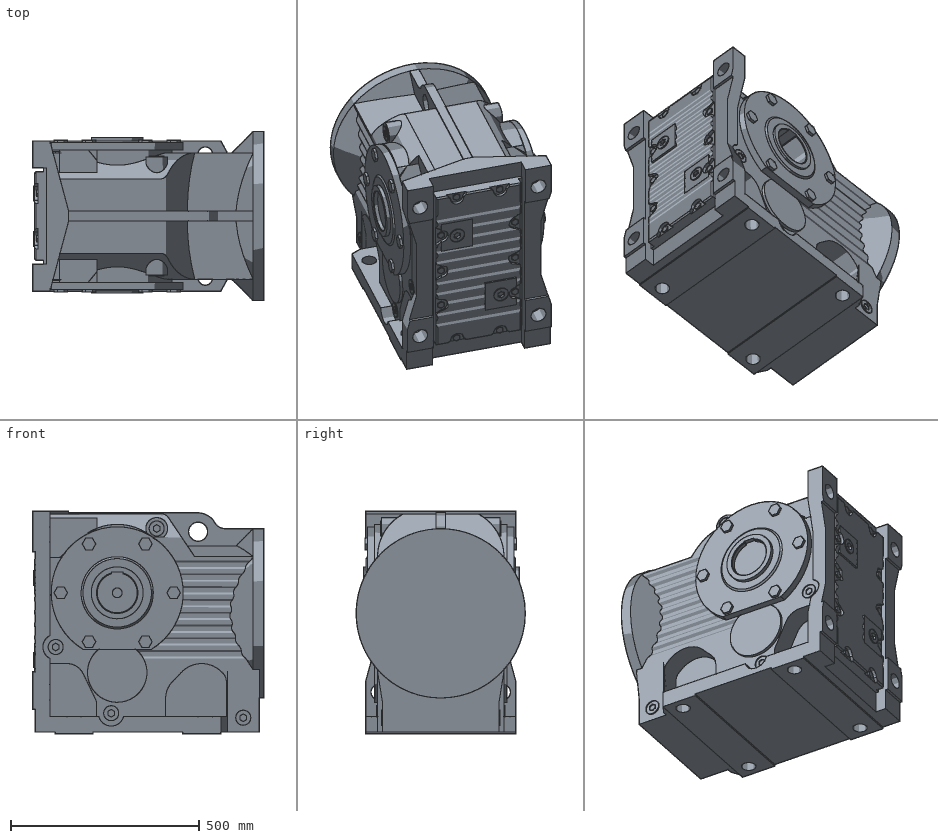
import cadquery as cq
import math

SIDES = (1, -1)

BODY_HALF = 168
BACK_X = -179
FOOT_BOTTOM = -370
SHOULDER_Z = 96
DECK_Z = 210
DECK_HALF = 99
DECK_END = 117
DECK_ROUND_END = (137, 198.5)
SLOPE_FOOT = (206, SHOULDER_Z)
SHOULDER_R = ((BODY_HALF - DECK_HALF) ** 2 + (DECK_Z - SHOULDER_Z) ** 2) / (2 * (BODY_HALF - DECK_HALF))
SHOULDER_Y = BODY_HALF - SHOULDER_R
NECK_TOP = 125
NECK_FLAT_HALF = 18
NECK_BULGE = 7
RECESS_WALL = 116
RECESS_FLOOR = ((BACK_X, 94), (-153, 94), (-54, 172))

GROOVE_BOTTOM = -181
GROOVE_TOP = 91
GROOVE_WAVES = 8
GROOVE_DEPTH = 5

INPUT_Z = -54.5
INPUT_R = 225
FLANGE_BACK = 361
FLANGE_FRONT = 390
CONE_LENGTH = 140

RIB_HALF = 13
RIB_TOP = 213
RIB_LOW = 171
RIB_BEND = (216, 240, 256.5, 267, 284)
RIB_BEND_SAG = 7
EYE = (215, 162.5)
EYE_R = 25

PLATE_HALF = 200
PLATE_TOP = 217
PLATE_FACE = -218
PAD_FACE = -225
PAD_UPPER = (109, PLATE_TOP)
PAD_LOWER = (-310, -209.5)
WAIST_HALF = 173
WAIST_Z = (-236, -137, 33, 130)
WEDGE_TIP = -129
CHANNEL_HALF = 128
CHANNEL_FLOOR = -188
PLATE_HOLE_R = 20.5
PLATE_HOLE_Y = 164.5
PLATE_HOLE_Z = (155, -264)

COVER_Z = (-309, 171)
COVER_HALF = 118
GASKET_FACE = -196
COVER_FACE = -220
COVER_CHAMFER = 4
COVER_FIN_Z = (-254, 118)
FIN_WAVES = 11
FIN_DEPTH = 5
EAR_R = 18
EAR_EDGE_HALF = 27
EAR_FACE = -211
EAR_SCREW_R = 10
EAR_SCREW_FACE = -215
EAR_SIDE = (103, (44, -71, -183))
EAR_END = (60, (160, -299))
PLUG_PAD = 87
PLUG_PADS = ((60.5, 40), (-61.5, -178))
PLUG_FACE = -223
PLUG_R = 20
PLUG_HEX = 20
PLUG_SOCKET_FLOOR = -215

DISC_R = 175.5
DISC_Y = (176, 195)
DISC_FLAT_Z = -150
BOSS_R = 146
BOSS_Z = 36
BOSS_TRIM = ((-54, 148), (-77, 176))
LOWER_BOSS_R = 79
LOWER_BOSS_Z = -212
SEAL_R = (96, 91)
SEAL_HEIGHT = 4
SHAFT_R = 69
SHAFT_END = {1: 209, -1: 205}
BORE_R = 53
BORE_CHAMFER = 2
KEY_WIDTH = 30
KEY_TOP = 56
CAP_Y = (185, 197)
CAP_OVERLAP = 5
CAP_HOLE_R = 13
CAP_HOLE_DEPTH = 6
BOLT_COUNT = 6
BOLT_CIRCLE_R = 150
BOLT_CORNERS = 36
BOLT_TOP = 202

FOOT_TOP = -329
FOOT_HALF = 200
FOOT_END = 275.5
FOOT_TAPER_END = 293
FOOT_PADS = ((-165, -64), (174, FOOT_END))
FOOT_PAD_BOTTOM = -375
FOOT_HOLE_X = (-115, 234)
FOOT_HOLE_Y = 164.5
FOOT_HOLE_R = 19
POCKET_BACK = 110
POCKET_TOP = -188
REAR_POCKET_END = -55
FRONT_POCKET_X = (129, 290)

BLOCK_END = 378
BLOCK_TOP = -202
BLOCK_SLOPE_Z = (-290, -209)
BLOCK_HALF = 155

OIL_PLUG_R = 20
OIL_PLUG_HEX = 20
OIL_PLUG_PROUD = 3
SCOOP_R = 34
SCOOPED_PLUGS = ((-163.5, -144), (-16, -320))
TOP_PLUG = (105, 171)
TOP_PLUG_BOSS_R = 29
TOP_PLUG_FACE = 157
BLOCK_PLUG = (335, -332)


def box(x, y, z):
    """Box from (low, high) limits on each axis."""
    size = (x[1] - x[0], y[1] - y[0], z[1] - z[0])
    return cq.Workplane("XY").box(*size, centered=False).translate((x[0], y[0], z[0]))


def y_prism(outline, y):
    """Extrude an XZ outline between two Y limits."""
    low, high = min(y), max(y)
    return outline.extrude(-(high - low)).translate((0, low, 0))


def y_cylinder(center, radius, y):
    return y_prism(cq.Workplane("XZ").center(*center).circle(radius), y)


def y_hexagon(center, corners, y, turn=0):
    outline = cq.Workplane("XZ").transformed(rotate=(0, 0, turn), offset=(*center, 0)).polygon(6, corners)
    return y_prism(outline, y)


def x_cylinder(center, radius, x):
    return cq.Workplane("YZ").center(*center).circle(radius).extrude(x[1] - x[0]).translate((x[0], 0, 0))


def x_hexagon(center, corners, x):
    outline = cq.Workplane("YZ").transformed(rotate=(0, 0, 30), offset=(*center, 0)).polygon(6, corners)
    return outline.extrude(x[1] - x[0]).translate((x[0], 0, 0))


def wave(outline, crest, z_start, z_end, depth, count):
    """Continue an outline upwards in Z from crest to crest through smooth arcs.

    `depth` is signed: it leads from the crest coordinate to the root coordinate.
    """
    step = (z_end - z_start) / (4 * count)
    rise = depth / 2
    radius = (step ** 2 + rise ** 2) / (2 * abs(rise))
    half_angle = math.asin(step / radius) / 2
    near = crest + math.copysign(radius * (1 - math.cos(half_angle)), rise)
    near_step = radius * math.sin(half_angle)
    for i in range(count):
        z = z_start + 4 * i * step
        outline = (
            outline.threePointArc((near, z + near_step), (crest + rise, z + step))
            .threePointArc((crest + depth, z + 2 * step), (crest + rise, z + 3 * step))
            .threePointArc((near, z + 4 * step - near_step), (crest, z + 4 * step))
        )
    return outline


def shoulder_mid():
    """Middle point of the +Y shoulder arc, as (Y, Z)."""
    angle = math.atan2(DECK_Z - SHOULDER_Z, DECK_HALF - SHOULDER_Y) / 2
    return (SHOULDER_Y + SHOULDER_R * math.cos(angle), SHOULDER_Z + SHOULDER_R * math.sin(angle))


def upper_housing():
    """Round-shouldered housing under the deck, with its sloping end."""
    mid = shoulder_mid()
    section = (
        cq.Workplane("YZ")
        .moveTo(-BODY_HALF, FOOT_BOTTOM)
        .lineTo(BODY_HALF, FOOT_BOTTOM)
        .lineTo(BODY_HALF, SHOULDER_Z)
        .threePointArc(mid, (DECK_HALF, DECK_Z))
        .lineTo(-DECK_HALF, DECK_Z)
        .threePointArc((-mid[0], mid[1]), (-BODY_HALF, SHOULDER_Z))
        .close()
        .extrude(SLOPE_FOOT[0] - BACK_X)
        .translate((BACK_X, 0, 0))
    )
    side = (
        cq.Workplane("XZ")
        .moveTo(BACK_X, FOOT_BOTTOM)
        .lineTo(BACK_X, DECK_Z)
        .lineTo(DECK_END, DECK_Z)
        .tangentArcPoint(DECK_ROUND_END, relative=False)
        .lineTo(*SLOPE_FOOT)
        .lineTo(SLOPE_FOOT[0], FOOT_BOTTOM)
        .close()
    )
    return section.intersect(y_prism(side, (-BODY_HALF, BODY_HALF)))


def neck():
    """Housing that runs on to the input flange, with a gently crowned roof."""
    mid_y = (NECK_FLAT_HALF + BODY_HALF) / 2
    mid_z = (NECK_TOP + SHOULDER_Z) / 2 + NECK_BULGE
    return (
        cq.Workplane("YZ")
        .moveTo(-BODY_HALF, BLOCK_TOP)
        .lineTo(BODY_HALF, BLOCK_TOP)
        .lineTo(BODY_HALF, SHOULDER_Z)
        .threePointArc((mid_y, mid_z), (NECK_FLAT_HALF, NECK_TOP))
        .lineTo(-NECK_FLAT_HALF, NECK_TOP)
        .threePointArc((-mid_y, mid_z), (-BODY_HALF, SHOULDER_Z))
        .close()
        .extrude(FLANGE_BACK)
    )


def side_grooves():
    """Material removed by the wavy cooling grooves of the +Y side."""
    outline = cq.Workplane("YZ").moveTo(BODY_HALF, GROOVE_BOTTOM)
    outline = wave(outline, BODY_HALF, GROOVE_BOTTOM, GROOVE_TOP, -GROOVE_DEPTH, GROOVE_WAVES)
    beyond = BODY_HALF + GROOVE_DEPTH
    outline = outline.lineTo(beyond, GROOVE_TOP).lineTo(beyond, GROOVE_BOTTOM).close()
    return outline.extrude(FLANGE_BACK)


def shoulder_shelf():
    """Wedge that carries the climbing recess floor out to the bearing covers."""
    low, high = RECESS_FLOOR[1:]
    outline = [low, high, (high[0], low[1])]
    return y_prism(cq.Workplane("XZ").polyline(outline).close(), (-DISC_Y[0], DISC_Y[0]))


def shoulder_recess(side):
    """Recess beside the mounting plate: upright wall and a floor that climbs towards +X."""
    outline = [*RECESS_FLOOR, (RECESS_FLOOR[-1][0], DECK_Z), (BACK_X, DECK_Z)]
    y = (side * RECESS_WALL, side * BODY_HALF)
    return y_prism(cq.Workplane("XZ").polyline(outline).close(), y)


def mounting_plate():
    """Waisted plate with raised corner pads, a full-height channel and four bolt holes."""
    low, waist_low, waist_high, high = WAIST_Z
    outline = [
        (-PLATE_HALF, FOOT_BOTTOM), (PLATE_HALF, FOOT_BOTTOM), (PLATE_HALF, low), (WAIST_HALF, waist_low),
        (WAIST_HALF, waist_high), (PLATE_HALF, high), (PLATE_HALF, PLATE_TOP), (-PLATE_HALF, PLATE_TOP),
        (-PLATE_HALF, high), (-WAIST_HALF, waist_high), (-WAIST_HALF, waist_low), (-PLATE_HALF, low),
    ]
    plate = cq.Workplane("YZ").polyline(outline).close().extrude(BACK_X - PAD_FACE)
    plate = plate.translate((PAD_FACE, 0, 0))
    for z in ((PAD_LOWER[1], PAD_UPPER[0]), (FOOT_BOTTOM, PAD_LOWER[0])):
        plate = plate.cut(box((PAD_FACE, PLATE_FACE), (-PLATE_HALF, PLATE_HALF), z))
    wedge = [
        (BACK_X, -PLATE_HALF), (WEDGE_TIP, -RIB_HALF), (WEDGE_TIP, RIB_HALF), (BACK_X, PLATE_HALF),
    ]
    wedge = cq.Workplane("XY").polyline(wedge).close().extrude(PLATE_TOP - DECK_Z).translate((0, 0, DECK_Z))
    plate = plate.union(wedge)
    channel = box((PAD_FACE, CHANNEL_FLOOR), (-CHANNEL_HALF, CHANNEL_HALF), (FOOT_BOTTOM, PLATE_TOP))
    plate = plate.cut(channel)
    for side in SIDES:
        for z in PLATE_HOLE_Z:
            plate = plate.cut(x_cylinder((side * PLATE_HOLE_Y, z), PLATE_HOLE_R, (PAD_FACE, BACK_X)))
    return plate


def inspection_cover():
    """Finned cover on a gasket flange, with screw ears and two plug pads."""
    gasket = box((GASKET_FACE, CHANNEL_FLOOR), (-CHANNEL_HALF, CHANNEL_HALF), COVER_Z)
    outline = (
        cq.Workplane("XZ")
        .moveTo(GASKET_FACE, COVER_Z[0])
        .lineTo(COVER_FACE, COVER_Z[0])
        .lineTo(COVER_FACE, COVER_FIN_Z[0])
    )
    outline = wave(outline, COVER_FACE, *COVER_FIN_Z, FIN_DEPTH, FIN_WAVES)
    outline = outline.lineTo(COVER_FACE, COVER_Z[1]).lineTo(GASKET_FACE, COVER_Z[1]).close()
    envelope = box((COVER_FACE, GASKET_FACE), (-COVER_HALF, COVER_HALF), COVER_Z)
    envelope = envelope.faces("<X").chamfer(COVER_CHAMFER)
    cover = gasket.union(y_prism(outline, (-COVER_HALF, COVER_HALF)).intersect(envelope))
    for y, z in PLUG_PADS:
        half = PLUG_PAD / 2
        cover = cover.union(box((COVER_FACE, GASKET_FACE), (y - half, y + half), (z - half, z + half)))
    for side in SIDES:
        side_y, side_levels = EAR_SIDE
        end_y, end_levels = EAR_END
        spots = [(side * side_y, z) for z in side_levels] + [(side * end_y, z) for z in end_levels]
        for spot in spots:
            cover = add_cover_ear(cover, spot)
    for spot in PLUG_PADS:
        cover = cover.union(x_cylinder(spot, PLUG_R, (PLUG_FACE, COVER_FACE)))
        cover = cover.cut(x_hexagon(spot, PLUG_HEX, (PLUG_FACE, PLUG_SOCKET_FLOOR)))
    return cover


def cover_ear(spot, x):
    """Ear around one cover screw, flared towards the nearest cover edge, between two X limits."""
    y, z = spot
    if z in EAR_END[1]:
        edge = COVER_Z[1] if z > 0 else COVER_Z[0]
        flare = [(y - EAR_R, z), (y + EAR_R, z), (y + EAR_EDGE_HALF, edge), (y - EAR_EDGE_HALF, edge)]
    else:
        edge = math.copysign(COVER_HALF, y)
        flare = [(y, z - EAR_R), (y, z + EAR_R), (edge, z + EAR_EDGE_HALF), (edge, z - EAR_EDGE_HALF)]
    ear = cq.Workplane("YZ").polyline(flare).close().extrude(x[1] - x[0]).translate((x[0], 0, 0))
    ear = ear.union(x_cylinder(spot, EAR_R, x))
    return ear.intersect(box(x, (-COVER_HALF, COVER_HALF), COVER_Z))


def add_cover_ear(cover, spot):
    """Spot-face the cover down to the ear, then add the ear and its screw head."""
    cover = cover.cut(cover_ear(spot, (COVER_FACE, EAR_FACE)))
    cover = cover.union(cover_ear(spot, (EAR_FACE, GASKET_FACE)))
    return cover.union(x_hexagon(spot, 2 * EAR_SCREW_R, (EAR_SCREW_FACE, GASKET_FACE)))


def lifting_rib():
    """Central rib with a lifting eye and an S-shaped drop towards the flange."""
    start, crest, middle, hollow, end = RIB_BEND
    middle_z = (RIB_TOP + RIB_LOW) / 2
    outline = (
        cq.Workplane("XZ")
        .moveTo(BACK_X, 0)
        .lineTo(BACK_X, RIB_TOP)
        .lineTo(start, RIB_TOP)
        .threePointArc((crest, RIB_TOP - RIB_BEND_SAG), (middle, middle_z))
        .threePointArc((hollow, RIB_LOW + RIB_BEND_SAG), (end, RIB_LOW))
        .lineTo(FLANGE_BACK, RIB_LOW)
        .lineTo(FLANGE_BACK, 0)
        .close()
    )
    y = (-RIB_HALF, RIB_HALF)
    return y_prism(outline, y).cut(y_cylinder(EYE, EYE_R, y))


def input_flange():
    """Round flange with a 45 degree cone blending back into the housing."""
    outline = [
        (FLANGE_BACK - CONE_LENGTH, 0), (FLANGE_BACK - CONE_LENGTH, INPUT_R - CONE_LENGTH),
        (FLANGE_BACK, INPUT_R), (FLANGE_FRONT, INPUT_R), (FLANGE_FRONT, 0),
    ]
    flange = cq.Workplane("XY").polyline(outline).close().revolve(360, (0, 0, 0), (1, 0, 0))
    return flange.translate((0, 0, INPUT_Z))


def foot():
    """Foot slab with a tapered end, the housing above it and the raised pads below."""
    outline = [
        (BACK_X, -FOOT_HALF), (FOOT_END, -FOOT_HALF), (FOOT_TAPER_END, -BODY_HALF),
        (FOOT_TAPER_END, BODY_HALF), (FOOT_END, FOOT_HALF), (BACK_X, FOOT_HALF),
    ]
    slab = cq.Workplane("XY").polyline(outline).close().extrude(FOOT_TOP - FOOT_BOTTOM)
    slab = slab.translate((0, 0, FOOT_BOTTOM))
    core = box((BACK_X, FOOT_TAPER_END), (-BODY_HALF, BODY_HALF), (FOOT_TOP, BLOCK_TOP))
    slab = slab.union(core)
    for pad in FOOT_PADS:
        slab = slab.union(box(pad, (-FOOT_HALF, FOOT_HALF), (FOOT_PAD_BOTTOM, FOOT_BOTTOM)))
    return slab


def foot_hole(x, side):
    hole = cq.Workplane("XY").center(x, side * FOOT_HOLE_Y).circle(FOOT_HOLE_R)
    return hole.extrude(FOOT_TOP - FOOT_PAD_BOTTOM).translate((0, 0, FOOT_PAD_BOTTOM))


def support_block():
    """Block under the input flange whose sides lean in towards the foot."""
    outline = [
        (-BLOCK_HALF, FOOT_BOTTOM), (BLOCK_HALF, FOOT_BOTTOM), (BLOCK_HALF, BLOCK_SLOPE_Z[0]),
        (BODY_HALF, BLOCK_SLOPE_Z[1]), (BODY_HALF, BLOCK_TOP), (-BODY_HALF, BLOCK_TOP),
        (-BODY_HALF, BLOCK_SLOPE_Z[1]), (-BLOCK_HALF, BLOCK_SLOPE_Z[0]),
    ]
    length = BLOCK_END - FOOT_TAPER_END
    return cq.Workplane("YZ").polyline(outline).close().extrude(length).translate((FOOT_TAPER_END, 0, 0))


def foot_pockets(side):
    """Two pockets over the foot that give access to the foot bolts."""
    rear = (
        cq.Workplane("XZ")
        .moveTo(BACK_X, FOOT_TOP)
        .lineTo(BACK_X, POCKET_TOP)
        .lineTo(-131, POCKET_TOP)
        .threePointArc((-107, -196), (-90, -216))
        .lineTo(-59, -280)
        .threePointArc((-56, -287), (REAR_POCKET_END, -295))
        .lineTo(REAR_POCKET_END, FOOT_TOP)
        .close()
    )
    start, end = FRONT_POCKET_X
    front = (
        cq.Workplane("XZ")
        .moveTo(start, FOOT_TOP)
        .lineTo(start, -275)
        .threePointArc((135, -253), (150, -233))
        .lineTo(175, -207)
        .threePointArc((225, POCKET_TOP), (279, -212))
        .threePointArc((287, -222), (end, -235))
        .lineTo(end, FOOT_TOP)
        .close()
    )
    y = (side * POCKET_BACK, side * BODY_HALF)
    return y_prism(rear, y).union(y_prism(front, y))


def bearing_bosses(side):
    """Cast bosses: one carries the bearing cover, one closes the lower shaft bore."""
    y = (0, side * DISC_Y[0])
    upper = y_cylinder((0, BOSS_Z), BOSS_R, y)
    (trim_x, trim_y), (end_x, end_y) = BOSS_TRIM
    trim = [
        (-BOSS_R, 0), (trim_x, 0), (trim_x, side * trim_y),
        (end_x, side * end_y), (-BOSS_R, side * end_y),
    ]
    trim = cq.Workplane("XY").workplane(offset=RECESS_FLOOR[0][1]).polyline(trim).close()
    upper = upper.cut(trim.extrude(DECK_Z - RECESS_FLOOR[0][1]).cut(shoulder_shelf()))
    return upper.union(y_cylinder((0, LOWER_BOSS_Z), LOWER_BOSS_R, y))


def bearing_cover(side):
    """Bolted disc with a flat lower edge, a tapered seal ring and the hollow shaft end."""
    inner, outer = (side * y for y in DISC_Y)
    cover = y_cylinder((0, 0), DISC_R, (inner, outer))
    cover = cover.cut(box((-DISC_R, DISC_R), (-DISC_Y[1], DISC_Y[1]), (-DISC_R, DISC_FLAT_Z)))
    seal = cq.Solid.makeCone(*SEAL_R, SEAL_HEIGHT, cq.Vector(0, outer, 0), cq.Vector(0, side, 0))
    cover = cover.union(cq.Workplane(seal))
    cover = cover.union(y_cylinder((0, 0), SHAFT_R, (inner, side * SHAFT_END[side])))
    for i in range(BOLT_COUNT):
        angle = 2 * math.pi * i / BOLT_COUNT
        spot = (BOLT_CIRCLE_R * math.cos(angle), BOLT_CIRCLE_R * math.sin(angle))
        cover = cover.union(y_hexagon(spot, BOLT_CORNERS, (inner, side * BOLT_TOP)))
    return cover


def hollow_shaft_bore():
    """Keyed through bore with a small chamfer at each mouth."""
    y = (-SHAFT_END[-1], SHAFT_END[1])
    key = box((-KEY_WIDTH / 2, KEY_WIDTH / 2), y, (0, KEY_TOP))
    bore = y_cylinder((0, 0), BORE_R, y).union(key)
    for side in SIDES:
        mouth = cq.Solid.makeCone(
            BORE_R + BORE_CHAMFER, BORE_R, BORE_CHAMFER,
            cq.Vector(0, side * SHAFT_END[side], 0), cq.Vector(0, -side, 0),
        )
        bore = bore.union(cq.Workplane(mouth))
    return bore


def bore_cap():
    """Closing disc at the +Y end of the bore, with a blind centre hole on its inner face."""
    hole = y_cylinder((0, 0), CAP_HOLE_R, (CAP_Y[0], CAP_Y[0] + CAP_HOLE_DEPTH))
    return y_cylinder((0, 0), BORE_R + CAP_OVERLAP, CAP_Y).cut(hole)


def add_oil_plug(solid, center, face, side):
    """Round plug head with a hexagon socket on a face at distance `face` from the mid plane."""
    y = (side * face, side * (face + OIL_PLUG_PROUD))
    head = y_cylinder(center, OIL_PLUG_R, y).cut(y_hexagon(center, OIL_PLUG_HEX, y, turn=30))
    return solid.union(head)


def build():
    body = upper_housing().union(neck()).union(shoulder_shelf())
    grooves = side_grooves()
    body = body.cut(grooves).cut(grooves.mirror("XZ"))
    for side in SIDES:
        body = body.cut(shoulder_recess(side))
    body = body.union(foot()).union(support_block())
    body = body.union(lifting_rib()).union(input_flange()).union(mounting_plate())
    for side in SIDES:
        body = body.cut(foot_pockets(side))
        for x in FOOT_HOLE_X:
            body = body.cut(foot_hole(x, side))
        for plug in SCOOPED_PLUGS:
            body = body.cut(y_cylinder(plug, SCOOP_R, (side * BODY_HALF, side * PLATE_HALF)))
            body = add_oil_plug(body, plug, BODY_HALF, side)
        body = body.union(bearing_bosses(side)).union(bearing_cover(side))
        body = body.union(y_cylinder(TOP_PLUG, TOP_PLUG_BOSS_R, (0, side * TOP_PLUG_FACE)))
        body = add_oil_plug(body, TOP_PLUG, TOP_PLUG_FACE, side)
        body = add_oil_plug(body, BLOCK_PLUG, BLOCK_HALF, side)
    body = body.cut(hollow_shaft_bore()).union(bore_cap())
    return body.union(inspection_cover())


result = build()